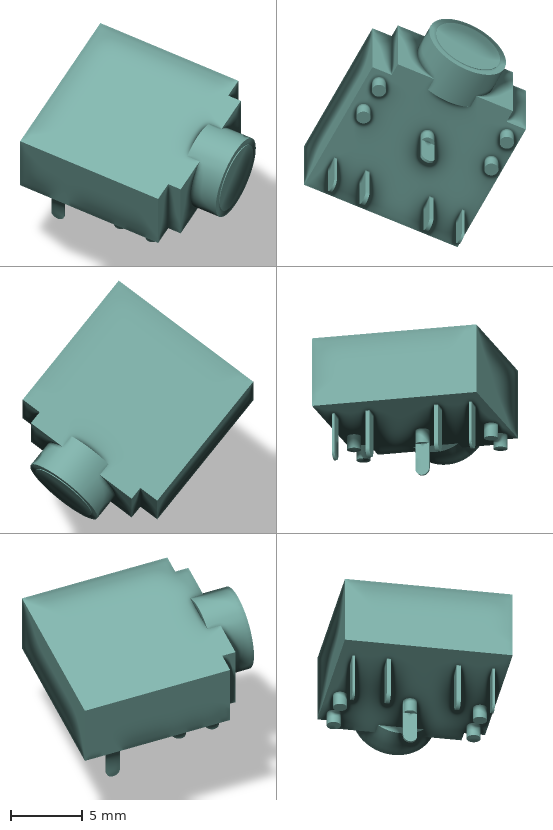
import cadquery as cq

housing_length = 11.0
housing_width = 12.0
housing_height = 5.0
step_length = 1.0
step_width = 8.99

barrel_diameter = 6.0
face_diameter = 5.0
face_height = 0.05
overall_length = 14.05
barrel_length = overall_length - face_height - housing_length

grid_pitch = 2.5
outer_row = 2 * grid_pitch
rear_pin_x = grid_pitch
middle_x = 3 * grid_pitch
front_post_x = 4 * grid_pitch

post_diameter = 1.0
post_height = 1.0

pin_width = 1.0
pin_length = 3.3
thin_pin = 0.2
thick_pin = 0.3

underside_z = -housing_height / 2


def make_housing():
    main = cq.Workplane("XY").box(
        housing_length, housing_width, housing_height, centered=(False, True, True)
    )
    step = cq.Workplane("XY").box(
        step_length, step_width, housing_height, centered=(False, True, True)
    )
    return main.union(step.translate((housing_length, 0, 0)))


def make_barrel():
    start = cq.Workplane("YZ", origin=(housing_length, 0, 0))
    barrel = start.circle(barrel_diameter / 2).extrude(barrel_length)
    face = start.circle(face_diameter / 2).extrude(barrel_length + face_height)
    return barrel.union(face)


def make_post(x, y):
    base = cq.Workplane("XY", origin=(x, y, underside_z))
    return base.circle(post_diameter / 2).extrude(-post_height)


def make_pin(x, y, thickness, plane):
    """Pin whose wide side lies in the given vertical plane."""
    half = pin_width / 2
    return (
        cq.Workplane(plane, origin=(x, y, underside_z))
        .moveTo(-half, 0)
        .lineTo(-half, half - pin_length)
        .threePointArc((0, -pin_length), (half, half - pin_length))
        .lineTo(half, 0)
        .close()
        .extrude(thickness / 2, both=True)
    )


result = make_housing().union(make_barrel())

result = result.union(make_post(middle_x, 0))
result = result.union(make_pin(middle_x, 0, thin_pin, "YZ"))

for side in (-1, 1):
    for post_x in (middle_x, front_post_x):
        result = result.union(make_post(post_x, side * outer_row))
    result = result.union(make_pin(rear_pin_x, side * outer_row, thin_pin, "XZ"))
    result = result.union(make_pin(rear_pin_x, side * grid_pitch, thick_pin, "XZ"))